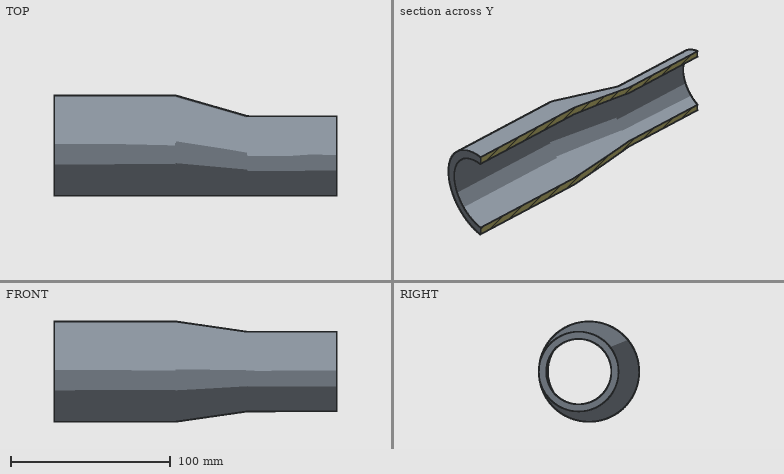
import cadquery as cq

large_outer_diameter = 63.0
large_bore_diameter = 51.4
small_outer_diameter = 50.0
small_bore_diameter = 40.8

total_length = 177.0
large_length = 76.0
small_length = 56.0
taper_start = large_length
taper_end = total_length - small_length

junction_radius = 5.0

flush_clearance = 0.01
axis_offset = flush_clearance - (large_outer_diameter - small_outer_diameter) / 2


def section(x, y, diameter):
    """Circle across the pipe, centred at (x, y)."""
    return cq.Wire.makeCircle(diameter / 2, cq.Vector(x, y, 0), cq.Vector(1, 0, 0))


def reducer_body(large_diameter, small_diameter):
    """Large cylinder, eccentric taper and small cylinder as one solid along X."""
    sections = [
        section(0, 0, large_diameter),
        section(taper_start, 0, large_diameter),
        section(taper_end, axis_offset, small_diameter),
        section(total_length, axis_offset, small_diameter),
    ]
    return cq.Workplane(cq.Solid.makeLoft(sections, True))


def round_junctions(body):
    """Round the circular edges at both ends of the taper."""
    junctions = body.edges("%CIRCLE").edges("not(<X or >X)")
    return junctions.fillet(junction_radius)


outer_body = round_junctions(reducer_body(large_outer_diameter, small_outer_diameter))
bore = reducer_body(large_bore_diameter, small_bore_diameter)

result = outer_body.cut(bore)